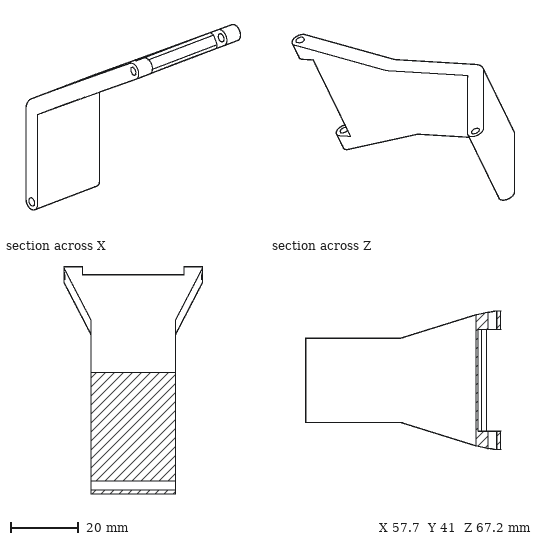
import cadquery as cq
import math

length_x = 57.7
width_y = 41.0
height_z = 67.2

thickness = 5.05
arm_angle = 31.0
narrow_width = 25.0
bend_start_rise = 0.8
flare_length = 30.0

pin_diameter = 2.5
notch_width = 30.0
notch_setback = 2.9
notch_chamfer = 1.0

half_thickness = thickness / 2
arm_slope = math.radians(arm_angle)

lower_pin = (half_thickness, half_thickness)
upper_pin = (length_x - half_thickness, height_z - half_thickness)
bend_z = upper_pin[1] - (upper_pin[0] - lower_pin[0]) * math.tan(arm_slope)

mitre = half_thickness * math.tan((math.pi / 2 - arm_slope) / 2)
inner_corner = (thickness, bend_z - mitre)

arm_plane = cq.Plane(
    origin=(upper_pin[0], 0, upper_pin[1]),
    xDir=(math.cos(arm_slope), 0, math.sin(arm_slope)),
    normal=(math.sin(arm_slope), 0, -math.cos(arm_slope)),
)


def along_arm(distance, offset):
    """Point (x, z) measured from the upper pin along the arm and square to it."""
    return (
        upper_pin[0] + distance * math.cos(arm_slope) - offset * math.sin(arm_slope),
        upper_pin[1] + distance * math.sin(arm_slope) + offset * math.cos(arm_slope),
    )


def extrude_across(sketch, width):
    """Extrude an XZ sketch by width, centred on the plane Y = 0."""
    return sketch.extrude(width / 2, both=True)


def lower_leg():
    """Upright leg with a rounded foot; the outer bend runs tangent into the arm's upper face."""
    bend_end = (
        inner_corner[0] - thickness * math.sin(arm_slope),
        inner_corner[1] + thickness * math.cos(arm_slope),
    )
    sketch = (
        cq.Workplane("XZ")
        .moveTo(thickness, lower_pin[1])
        .lineTo(*inner_corner)
        .lineTo(*along_arm(-flare_length, -half_thickness))
        .lineTo(*along_arm(-flare_length, half_thickness))
        .lineTo(*bend_end)
        .tangentArcPoint((0, inner_corner[1] + bend_start_rise), relative=False)
        .lineTo(0, lower_pin[1])
        .threePointArc((half_thickness, 0), (thickness, lower_pin[1]))
        .close()
    )
    return extrude_across(sketch, narrow_width)


def flared_arm():
    """Part of the sloping arm that widens toward the upper pin axis."""
    return (
        cq.Workplane(arm_plane)
        .polyline([
            (-flare_length, -narrow_width / 2),
            (0, -width_y / 2),
            (0, width_y / 2),
            (-flare_length, narrow_width / 2),
        ])
        .close()
        .extrude(half_thickness, both=True)
    )


def knuckle_cap():
    """Half-round nose beyond the upper pin axis, before the knuckles are separated."""
    sketch = (
        cq.Workplane("XZ")
        .moveTo(*along_arm(0, half_thickness))
        .threePointArc(along_arm(half_thickness, 0), along_arm(0, -half_thickness))
        .close()
    )
    return extrude_across(sketch, width_y)


def pin_hole(center):
    """Full-width cylinder that bores a pin hole."""
    return extrude_across(cq.Workplane("XZ").center(*center).circle(pin_diameter / 2), width_y)


def notch():
    """Gap between the knuckles, leaving a floor with both edges chamfered."""
    chamfer_start = -notch_setback - notch_chamfer
    flat_half = half_thickness - notch_chamfer
    sketch = (
        cq.Workplane("XZ")
        .polyline([
            along_arm(chamfer_start, half_thickness),
            along_arm(-notch_setback, flat_half),
            along_arm(-notch_setback, -flat_half),
            along_arm(chamfer_start, -half_thickness),
            along_arm(chamfer_start, -thickness),
            along_arm(thickness, -thickness),
            along_arm(thickness, thickness),
            along_arm(chamfer_start, thickness),
        ])
        .close()
    )
    return extrude_across(sketch, notch_width)


result = lower_leg().union(flared_arm()).union(knuckle_cap()).cut(notch())
for pin in (lower_pin, upper_pin):
    result = result.cut(pin_hole(pin))